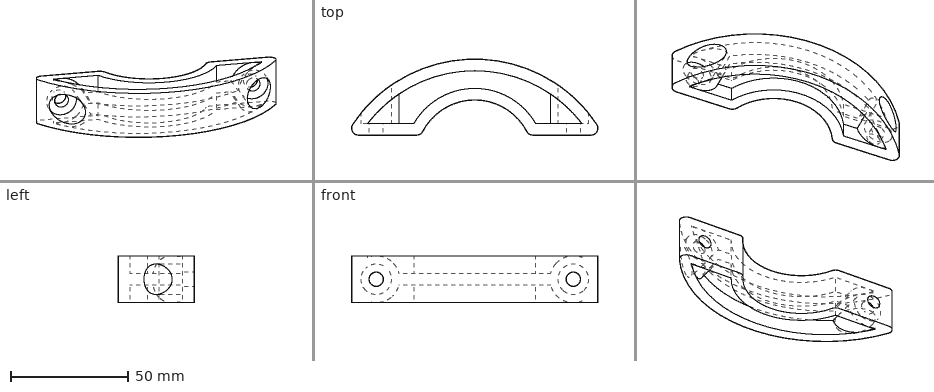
import cadquery as cq
import math

width = 20.0
wall = 5.0
web = 5.0
corner_radius = 3.0

outer_radius = 62.5
outer_center_y = -30.0
bore_radius = 25.0
bore_center_y = -10.0

bolt_x = 42.0
bolt_diameter = 6.0
head_diameter = 13.0
head_seat_y = wall
boss_radius = width / 2

mid_z = width / 2
pocket_depth = (width - web) / 2
outer_top_y = outer_center_y + outer_radius


def arc_half_width(radius, center_y, y):
    """Half the chord at height y of a circle centred on the Y axis."""
    return math.sqrt(radius**2 - (y - center_y) ** 2)


def crescent(inset, bottom_z, height):
    """Crescent-shaped prism, with its outline moved inward by the inset."""
    outer_r = outer_radius - inset
    inner_r = bore_radius + inset
    outer_x = arc_half_width(outer_r, outer_center_y, inset)
    inner_x = arc_half_width(inner_r, bore_center_y, inset)
    return (
        cq.Workplane("XY", origin=(0, 0, bottom_z))
        .moveTo(-outer_x, inset)
        .threePointArc((0, outer_center_y + outer_r), (outer_x, inset))
        .lineTo(inner_x, inset)
        .threePointArc((0, bore_center_y + inner_r), (-inner_x, inset))
        .close()
        .extrude(height)
    )


def bolt_cylinder(x, radius, start_y):
    """Cylinder along Y on a bolt axis, from start_y to the top of the outer arc."""
    axis = cq.Vector(0, 1, 0)
    start = cq.Vector(x, start_y, mid_z)
    return cq.Workplane(cq.Solid.makeCylinder(radius, outer_top_y - start_y, start, axis))


body = crescent(0, 0, width).edges("|Z").fillet(corner_radius)

pockets = crescent(wall, 0, pocket_depth).union(crescent(wall, width - pocket_depth, pocket_depth))
for side in (-1, 1):
    pockets = pockets.cut(bolt_cylinder(side * bolt_x, boss_radius, 0))
result = body.cut(pockets)

for side in (-1, 1):
    result = result.cut(bolt_cylinder(side * bolt_x, bolt_diameter / 2, 0))
    result = result.cut(bolt_cylinder(side * bolt_x, head_diameter / 2, head_seat_y))